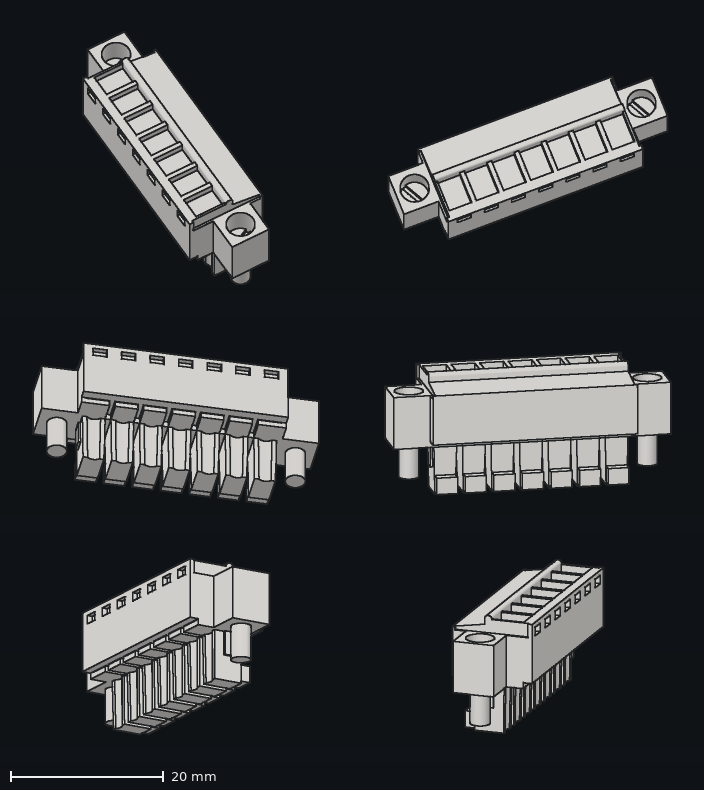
import cadquery as cq


POLES = 7
PITCH = 3.8
POLE_X = [(i - (POLES - 1) / 2) * PITCH for i in range(POLES)]

BASE_Z = 6.67
STEP_Z = 7.5
FLANGE_TOP_Z = 13.7
RIM_Z = 14.15
SLOPE_TOP_Z = 14.82
TOP_Z = 15.55

LENGTH = 37.05
BODY_LENGTH = 27.35
CAP_LENGTH = 26.7
FRONT_Y = -6.4
BACK_Y = 4.7
CAP_FRONT_Y = -5.8
CAP_BACK_Y = 4.37
BASE_FRONT_Y = -5.15
FLANGE_DEPTH = 5.65
RIDGE_RADIUS = 0.52
RIDGE_Y = -0.2

POCKET_WIDTH = 3.15
POCKET_FRONT_Y = -5.05
POCKET_BACK_Y = RIDGE_Y - RIDGE_RADIUS
POCKET_DEPTH = 1.05
WINDOW_WIDTH = 1.9
WINDOW_HEIGHT = 1.15
WINDOW_DEPTH = 0.75

PRONG_TOP_WIDTH = 3.05
PRONG_TIP_WIDTH = 2.8
PRONG_BACK_Y = 1.9
PRONG_TOP_FRONT_Y = -2.25
PRONG_TIP_FRONT_Y = -2.15
GROOVE_RADIUS = 1.22
GROOVE_DEPTH = 0.3
TAB_BACK_Y = 3.22
TAB_BOTTOM_Z = 0.3
TAB_TOP_Z = 2.55

RIB_X = 13.23
RIB_DEPTH = 1.63
RIB_BOTTOM_Z = 3.45

SCREW_X = 15.95
HEAD_DIAMETER = 3.78
SHANK_DIAMETER = 2.65
SCREW_TIP_Z = 2.08
HEAD_TOP_Z = 10.2
HEAD_HEIGHT = 1.5
SLOT_WIDTH = 0.63
SLOT_DEPTH = 0.55
SLOT_ANGLE = -62.6


def block(x_min, x_max, y_min, y_max, z_min, z_max):
    """Box between the given limits."""
    size = (x_max - x_min, y_max - y_min, z_max - z_min)
    return cq.Workplane().box(*size, centered=False).translate((x_min, y_min, z_min))


def centred_block(x, width, y_min, y_max, z_min, z_max):
    """Box centred on x along X, between limits along Y and Z."""
    return block(x - width / 2, x + width / 2, y_min, y_max, z_min, z_max)


def make_shell():
    """Stepped housing block with two flanges, solid inside."""
    body = centred_block(0, BODY_LENGTH, FRONT_Y, BACK_Y, STEP_Z, FLANGE_TOP_Z)
    base = centred_block(0, BODY_LENGTH, BASE_FRONT_Y, FLANGE_DEPTH / 2, BASE_Z, STEP_Z)
    flanges = centred_block(0, LENGTH, -FLANGE_DEPTH / 2, FLANGE_DEPTH / 2, BASE_Z, FLANGE_TOP_Z)
    front_wall = centred_block(0, BODY_LENGTH, FRONT_Y, CAP_FRONT_Y, FLANGE_TOP_Z, TOP_Z)
    back_rim = centred_block(0, BODY_LENGTH, CAP_BACK_Y, BACK_Y, FLANGE_TOP_Z, RIM_Z)
    return body.union(base).union(flanges).union(front_wall).union(back_rim).union(make_cap())


def make_cap():
    """Cap with a flat front part, a round ridge and a roof sloping to the back."""
    return (
        cq.Workplane("YZ")
        .moveTo(CAP_FRONT_Y, FLANGE_TOP_Z)
        .lineTo(CAP_FRONT_Y, TOP_Z)
        .lineTo(RIDGE_Y - RIDGE_RADIUS, TOP_Z)
        .threePointArc((RIDGE_Y, TOP_Z + RIDGE_RADIUS), (RIDGE_Y + RIDGE_RADIUS, TOP_Z))
        .lineTo(RIDGE_Y + RIDGE_RADIUS, SLOPE_TOP_Z)
        .lineTo(CAP_BACK_Y, RIM_Z)
        .lineTo(CAP_BACK_Y, FLANGE_TOP_Z)
        .close()
        .extrude(CAP_LENGTH / 2, both=True)
    )


def make_prong(x):
    """Tapered prong with a concave front groove and a latch tab at the back."""
    depth_at_top = PRONG_BACK_Y - PRONG_TOP_FRONT_Y
    depth_at_tip = PRONG_BACK_Y - PRONG_TIP_FRONT_Y
    tip_centre_y = PRONG_BACK_Y - depth_at_tip / 2
    top_centre_y = PRONG_BACK_Y - depth_at_top / 2
    prong = (
        cq.Workplane()
        .center(x, tip_centre_y)
        .rect(PRONG_TIP_WIDTH, depth_at_tip)
        .workplane(offset=BASE_Z)
        .center(0, top_centre_y - tip_centre_y)
        .rect(PRONG_TOP_WIDTH, depth_at_top)
        .loft(ruled=True)
    )
    groove_y = PRONG_TIP_FRONT_Y + GROOVE_DEPTH - GROOVE_RADIUS
    groove = cq.Workplane().center(x, groove_y).circle(GROOVE_RADIUS).extrude(BASE_Z)
    tab = centred_block(x, PRONG_TIP_WIDTH, PRONG_BACK_Y, TAB_BACK_Y, TAB_BOTTOM_Z, TAB_TOP_Z)
    return prong.cut(groove).union(tab)


def make_key_rib(side):
    """Rib on the outer side of an end prong, reaching in to the prong's centre."""
    width = RIB_X - POLE_X[-1]
    x = side * (RIB_X - width / 2)
    return centred_block(x, width, -RIB_DEPTH / 2, RIB_DEPTH / 2, RIB_BOTTOM_Z, BASE_Z)


def make_base_notch(left_x, right_x):
    """Gap in the front of the base between two neighbouring prongs."""
    half_width = PRONG_TOP_WIDTH / 2
    return block(
        left_x + half_width, right_x - half_width,
        BASE_FRONT_Y, PRONG_TOP_FRONT_Y, BASE_Z, STEP_Z,
    )


def make_pocket(x):
    """Wire opening: a recess in the top above the clamp."""
    floor_z = TOP_Z - POCKET_DEPTH
    return centred_block(x, POCKET_WIDTH, POCKET_FRONT_Y, POCKET_BACK_Y, floor_z, TOP_Z)


def make_window(x):
    """Blind test window in the front wall."""
    window_top_z = FLANGE_TOP_Z + WINDOW_HEIGHT
    return centred_block(x, WINDOW_WIDTH, FRONT_Y, FRONT_Y + WINDOW_DEPTH, FLANGE_TOP_Z, window_top_z)


def make_clamp(x):
    """Terminal clamp block that fills the cavity below the wire pocket."""
    clamp_top_z = TOP_Z - POCKET_DEPTH
    return centred_block(x, POCKET_WIDTH, POCKET_FRONT_Y, POCKET_BACK_Y, STEP_Z, clamp_top_z)


def cylinder(x, diameter, z_min, z_max):
    """Upright cylinder on the screw plane."""
    return cq.Workplane(origin=(x, 0, z_min)).circle(diameter / 2).extrude(z_max - z_min)


def make_screw(x):
    """Flange screw with a slotted cylindrical head."""
    head_bottom_z = HEAD_TOP_Z - HEAD_HEIGHT
    shank = cylinder(x, SHANK_DIAMETER, SCREW_TIP_Z, head_bottom_z)
    head = cylinder(x, HEAD_DIAMETER, head_bottom_z, HEAD_TOP_Z)
    slot = (
        cq.Workplane(origin=(x, 0, HEAD_TOP_Z - SLOT_DEPTH))
        .transformed(rotate=(0, 0, SLOT_ANGLE))
        .rect(2 * HEAD_DIAMETER, SLOT_WIDTH)
        .extrude(SLOT_DEPTH)
    )
    return shank.union(head).cut(slot)


def make_screw_hole(x):
    """Stepped through hole in a flange that seats the screw."""
    shank_hole = cylinder(x, SHANK_DIAMETER, BASE_Z, FLANGE_TOP_Z)
    head_hole = cylinder(x, HEAD_DIAMETER, HEAD_TOP_Z - HEAD_HEIGHT, FLANGE_TOP_Z)
    return shank_hole.union(head_hole)


def make_housing():
    """Housing with its prongs, key ribs, openings and screw holes."""
    housing = make_shell()
    for left_x, right_x in zip(POLE_X, POLE_X[1:]):
        housing = housing.cut(make_base_notch(left_x, right_x))
    for x in POLE_X:
        housing = housing.union(make_prong(x))
        housing = housing.cut(make_pocket(x)).cut(make_window(x)).cut(make_clamp(x))
    for side in (-1, 1):
        housing = housing.union(make_key_rib(side))
        housing = housing.cut(make_screw_hole(side * SCREW_X))
    return housing


housing = make_housing()
screws = [make_screw(side * SCREW_X) for side in (-1, 1)]
clamps = [make_clamp(x) for x in POLE_X]

result = cq.Compound.makeCompound(
    [housing.val(), *[screw.val() for screw in screws], *[clamp.val() for clamp in clamps]]
)